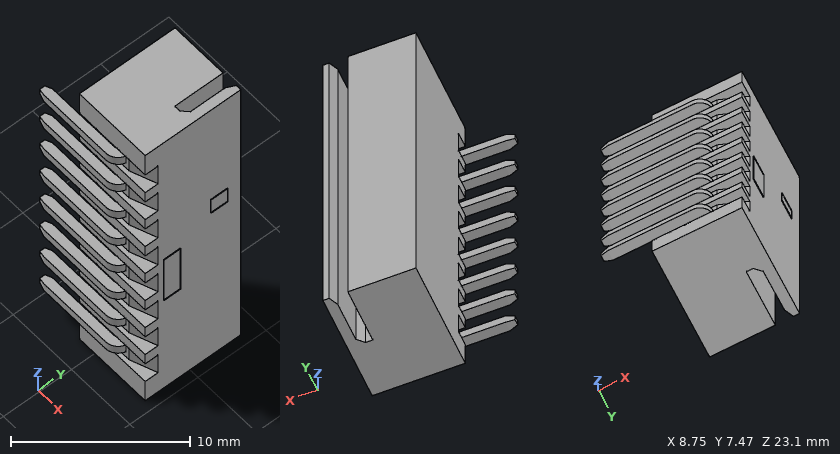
import cadquery as cq

body_height = 23.05
body_width = 5.65
body_depth = 7.03

pin_count = 8
pin_pitch = 2.53
pin_side = 0.65
pin_drop = 0.44
pin_reach = 3.05
pin_bend_start = 2.76
pin_bend_radius = 0.92
pin_anchor = 0.45
tip_length = 0.5
tip_side = 0.4

window_height = 1.65
window_edge_depth = 0.95
window_flat_depth = 0.3
window_flat_start = 2.83
window_flat_end = 3.92

slot_start = 4.12
slot_width = 0.85
slot_depth = 3.55
slot_corner = 0.41
mouth_flare = 0.28
mouth_flare_depth = 0.58

pad_thickness = 0.05
pad_width = 1.22
pad_layout = [
    (5.41, 2.53, 1.25),
    (1.95, -1.34, 3.8),
]

pin_levels = [(i - (pin_count - 1) / 2) * pin_pitch for i in range(pin_count)]


def prism(outline, height, level=0.0):
    """Extrude a closed XY wire symmetrically in Z about the given level."""
    return outline.extrude(height / 2, both=True).translate((0, 0, level))


def make_body():
    outline = cq.Workplane("XY").rect(body_width, body_depth, centered=False)
    return prism(outline, body_height)


def make_slot():
    slot_end = slot_start + slot_width
    slot_floor = body_depth - slot_depth
    outline = (
        cq.Workplane("XY")
        .moveTo(slot_start, body_depth)
        .lineTo(slot_start, slot_floor)
        .lineTo(slot_end - slot_corner, slot_floor)
        .lineTo(slot_end, slot_floor + slot_corner)
        .lineTo(slot_end, body_depth - mouth_flare_depth)
        .lineTo(slot_end + mouth_flare, body_depth)
        .close()
    )
    return prism(outline, body_height)


def make_window(level):
    outline = (
        cq.Workplane("XY")
        .moveTo(0, 0)
        .lineTo(0, window_edge_depth)
        .lineTo(window_flat_start, window_flat_depth)
        .lineTo(window_flat_end, window_flat_depth)
        .lineTo(body_width, window_edge_depth)
        .lineTo(body_width, 0)
        .close()
    )
    return prism(outline, window_height, level)


def make_pin(level):
    """Square pin running along X, tapered at its tip and bent into the housing."""
    shank_start = tip_length - pin_reach
    pin_axis_y = pin_side / 2 - pin_drop
    path = (
        cq.Workplane("XY")
        .moveTo(shank_start, pin_axis_y)
        .lineTo(pin_bend_start, pin_axis_y)
        .radiusArc((pin_bend_start + pin_bend_radius - pin_side / 2,
                    pin_bend_radius - pin_drop), -(pin_bend_radius - pin_side / 2))
        .line(0, pin_anchor)
    )
    section = cq.Workplane("YZ", origin=(shank_start, pin_axis_y, 0))
    shank = section.rect(pin_side, pin_side).sweep(path)
    tip = (
        section.rect(pin_side, pin_side)
        .workplane(offset=-tip_length)
        .rect(tip_side, tip_side)
        .loft()
    )
    return shank.union(tip).translate((0, 0, level))


def make_pad(y_centre, z_centre, z_length):
    return (
        cq.Workplane("YZ", origin=(body_width, y_centre, z_centre))
        .rect(pad_width, z_length)
        .extrude(pad_thickness)
    )


result = make_body().cut(make_slot())
for pin_level in pin_levels:
    result = result.cut(make_window(pin_level))
    result = result.union(make_pin(pin_level))
for pad in pad_layout:
    result = result.union(make_pad(*pad))